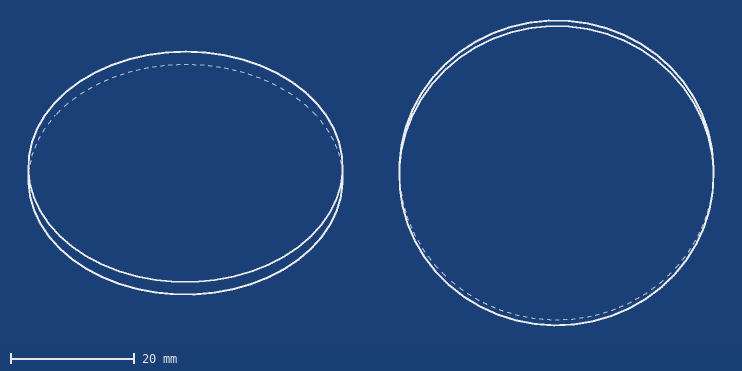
import cadquery as cq

diameter = 50.8
center_thickness = 9.75
edge_thickness = 3.0

radius = diameter / 2
half_center = center_thickness / 2
half_edge = edge_thickness / 2
sag = half_center - half_edge
sphere_radius = (radius**2 + sag**2) / (2 * sag)

mid_radius = radius / 2
mid_height = half_center - sphere_radius + (sphere_radius**2 - mid_radius**2) ** 0.5

half_section = (
    cq.Workplane("XZ")
    .moveTo(0, -half_center)
    .threePointArc((mid_radius, -mid_height), (radius, -half_edge))
    .lineTo(radius, half_edge)
    .threePointArc((mid_radius, mid_height), (0, half_center))
    .close()
)

result = half_section.revolve(360, (0, 0, 0), (0, 1, 0))